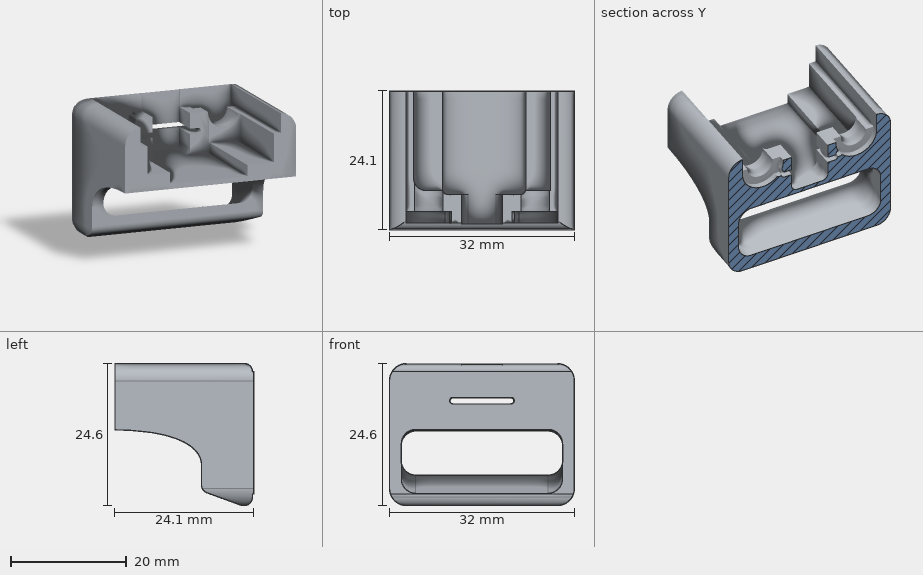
import cadquery as cq
import math


width = 32.0
height = 24.6
body_depth = 23.8
plate_thickness = 0.25
plate_top_z = -1.43
plate_bottom_z = -22.6
side_corner_radius = 3.0
front_top_radius = 1.4
front_depth = body_depth + plate_thickness

arm_thickness = 11.5
bar_rear_depth = 14.95
curve_end_z = -17.5
curve_rear_pull = 9.6
curve_bar_pull = 3.45
bar_slope_angle = 20.0
bar_slope = math.tan(math.radians(bar_slope_angle))
bar_rear_corner_z = -22.03
bar_rear_radius = 1.5
bar_front_radius = 1.5
bar_front_corner_z = bar_rear_corner_z - (body_depth - bar_rear_depth) * bar_slope

pocket_depth = 22.85
shelf_z = -3.5
block_top_z = -3.2
step_z = -8.6
floor_z = -10.6
pocket_half_width = 13.17
step_half_width = 11.83
step_depth = 17.2
step_corner_radius = 2.2
channel_left_x = -6.86
channel_right_x = 7.58
channel_depth = 17.9
channel_corner_radius = 1.0

seat_x = 9.2
seat_radius = 2.48
collar_radius = 3.97
collar_depth = 20.85
block_half_width = seat_x - seat_radius
relief_radius = 0.7
relief_x = 5.95

middle_half_width = 3.55
middle_corner_radius = 1.1
middle_depth = 23.0

window_width = 11.2
window_height = 1.1
window_bottom_z = -6.97
window_rim = 0.1

opening_width = 27.9
opening_top_z = -11.4
opening_rear_top_z = -11.7
opening_bottom_z = -22.45
opening_corner_radius = 2.5
opening_rear_bottom_z = -19.3


def slab(x_min, x_max, depth_start, depth_end, z_min, z_max):
    """Box between two X values, two depths from the rear end and two Z values."""
    return cq.Workplane("XY").box(
        x_max - x_min, depth_end - depth_start, z_max - z_min, centered=False
    ).translate((x_min, -depth_end, z_min))


def rod(x, z, radius, depth_start, depth_end):
    """Cylinder along Y between two depths from the rear end."""
    return (
        cq.Workplane("XZ", origin=(x, -depth_start, z)).circle(radius).extrude(depth_end - depth_start)
    )


def section_sketch(z_min, z_max, section_width, radius):
    """Rounded rectangle across the part, centred on X = 0."""
    middle_z = (z_min + z_max) / 2
    sketch = cq.Sketch().rect(section_width, z_max - z_min).vertices().fillet(radius)
    return sketch.moved(cq.Location(cq.Vector(0, middle_z, 0)))


def rounded_block(depth_end):
    """Rounded rectangular outline run from the rear end to a given depth."""
    outline = section_sketch(-height, 0, width, side_corner_radius)
    return cq.Workplane("XZ").placeSketch(outline).extrude(depth_end)


def make_body():
    """Side outline run across the width, its four long edges rounded by the front outline."""
    side = (
        cq.Workplane("YZ", origin=(-width / 2, 0, 0))
        .moveTo(0, 0)
        .lineTo(0, -arm_thickness)
        .bezier([
            (0, -arm_thickness),
            (-curve_rear_pull, -arm_thickness),
            (-bar_rear_depth, curve_end_z + curve_bar_pull),
            (-bar_rear_depth, curve_end_z),
        ])
        .lineTo(-bar_rear_depth, bar_rear_corner_z)
        .lineTo(-body_depth, bar_front_corner_z)
        .lineTo(-body_depth, 0)
        .close()
        .extrude(width)
    )
    side = side.edges("|X").edges("<Z").fillet(bar_front_radius)
    rear_corner = cq.selectors.NearestToPointSelector((0, -bar_rear_depth, bar_rear_corner_z))
    side = side.edges("|X").edges(rear_corner).fillet(bar_rear_radius)
    side = side.edges("|X").edges(">Z").edges("<Y").fillet(front_top_radius)
    return side.intersect(rounded_block(body_depth))


def make_front_plate():
    """Thin raised face on the front wall, following the rounded outline."""
    band = slab(-width / 2, width / 2, body_depth, front_depth, plate_bottom_z, plate_top_z)
    return band.intersect(rounded_block(front_depth))


def make_pocket():
    """Shelf, step and channel levels, leaving a raised block on each side of the middle slot."""
    shelf = slab(-pocket_half_width, pocket_half_width, 0, pocket_depth, shelf_z, 0)
    blocks = slab(-block_half_width, block_half_width, step_depth, pocket_depth, shelf_z, block_top_z)
    step = slab(-step_half_width, step_half_width, 0, step_depth, step_z, shelf_z)
    step = step.edges("|Z").edges("<X and <Y").fillet(step_corner_radius)
    channel = slab(channel_left_x, channel_right_x, 0, channel_depth, floor_z, block_top_z)
    channel = channel.edges("|Z").edges("<Y").fillet(channel_corner_radius)
    return shelf.cut(blocks).union(step).union(channel)


def make_middle_slot():
    """Slot between the raised blocks with rounded bottom corners."""
    slot = slab(-middle_half_width, middle_half_width, step_depth, middle_depth, floor_z, 0)
    return slot.edges("|Y and <Z").fillet(middle_corner_radius)


def make_seat(side):
    """Half-round seat with a wider collar and a small relief groove; side is -1 or 1."""
    relief_drop = math.sqrt(collar_radius**2 - (seat_x - relief_x) ** 2)
    seat = rod(side * seat_x, shelf_z, seat_radius, step_depth - step_corner_radius, collar_depth)
    collar = rod(side * seat_x, shelf_z, collar_radius, collar_depth, pocket_depth)
    relief = rod(side * relief_x, shelf_z - relief_drop, relief_radius, collar_depth, pocket_depth)
    return seat.union(collar).union(relief)


def window_cut(slot_width, slot_height, depth_start, depth_end):
    """Round-ended slot along Y, standing on the bottom line of the window."""
    return (
        cq.Workplane("XZ", origin=(0, -depth_start, window_bottom_z + slot_height / 2))
        .slot2D(slot_width, slot_height)
        .extrude(depth_end - depth_start)
    )


def make_window():
    """Slot through the body, slightly narrower and lower than its mouth in the front plate."""
    inner_width = window_width - 2 * window_rim
    inner_height = window_height - window_rim
    inner = window_cut(inner_width, inner_height, channel_depth, body_depth)
    mouth = window_cut(window_width, window_height, body_depth, front_depth)
    return inner.union(mouth)


def make_finger_opening():
    """Opening whose bottom rises to the bar's rear face, then runs level to the rear end."""
    front_sketch = section_sketch(opening_bottom_z, opening_top_z, opening_width, opening_corner_radius)
    rear_sketch = section_sketch(
        opening_rear_bottom_z, opening_rear_top_z, opening_width, opening_corner_radius
    )
    rear_offset = front_depth - bar_rear_depth
    sloped = (
        cq.Workplane("XZ", origin=(0, -bar_rear_depth, 0))
        .placeSketch(rear_sketch, front_sketch.moved(cq.Location(cq.Vector(0, 0, rear_offset))))
        .loft(ruled=True)
    )
    level = cq.Workplane("XZ").placeSketch(rear_sketch).extrude(bar_rear_depth)
    return sloped.union(level)


result = make_body().union(make_front_plate())
result = result.cut(make_pocket()).cut(make_middle_slot())
for seat_side in (-1, 1):
    result = result.cut(make_seat(seat_side))
result = result.cut(make_window()).cut(make_finger_opening())